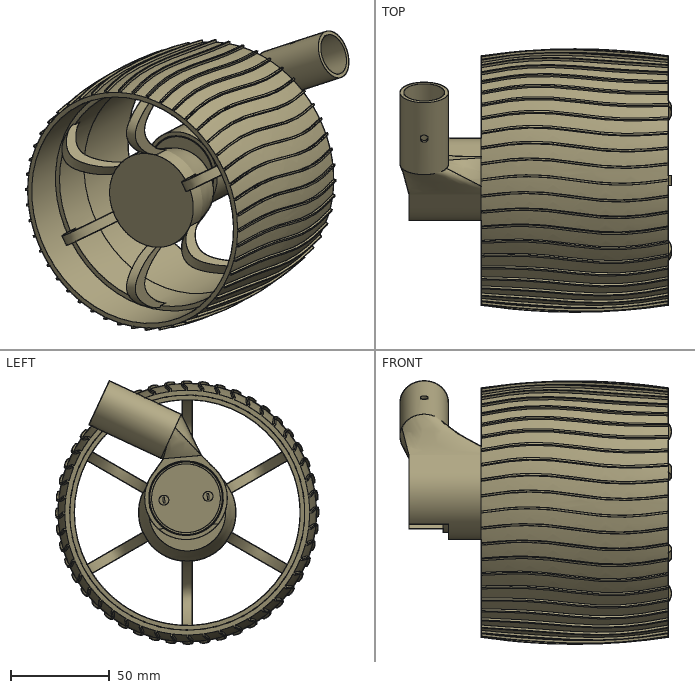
import cadquery as cq
import math


tyre_width = 94.9
tyre_inner_diameter = 119.1
tyre_edge_radius = 62.0
tyre_crown_radius = 65.5

rib_count = 48
rib_height = 1.2
rib_root_depth = 0.7
rib_width = 1.0
rib_wave = 2.0
rib_phase = -0.25
rib_section_count = 9
sector_count = 4

rim_inner_diameter = 114.3
rim_width = 24.1
hub_diameter = 49.5
hub_face_diameter = 38.8
spoke_count = 6
spoke_width = 5.2
spoke_depth = 9.2
spoke_embed = 0.3
spoke_apex = (87.3, 40.9)
bow_inside_apex = (79.0, 30.3)
bow_outside_apex = (79.0, 51.2)
bow_hub_x = 67.1
bow_rim_x = 58.7

motor_tilt = -5.0
motor_offset = 7.3
motor_diameter = 36.8
motor_boss_diameter = 34.8
motor_boss_height = 2.6
motor_face_x = -19.1

screw_diameter = 5.0
screw_spacing = 22.5
screw_depth = 4.1
slot_width = 0.8
slot_depth = 1.1
slot_length = 3.0

sleeve_bore = 37.7
sleeve_diameter = 41.9
sleeve_left = -36.5
opening_drop = 14.3
saddle_length = 45.0
saddle_width = 19.4
tube_diameter = 24.7
tube_bore = 20.7
tube_length = 40.2
tube_rise_angle = 30.0
tube_base = cq.Vector(-28.8, 4.8, 39.3)
tube_hole_diameter = 4.0

tyre_middle = tyre_width / 2
rim_left = tyre_middle
sleeve_right = rim_left
sleeve_radius = sleeve_diameter / 2
motor_shoulder_x = motor_face_x + motor_boss_height
rib_pitch = 360 / rib_count
crown_height = tyre_crown_radius - tyre_edge_radius
crown_arc_radius = (tyre_middle**2 + crown_height**2) / (2 * crown_height)

bow_points = [
    (rim_left, hub_face_diameter / 2),
    (bow_hub_x, hub_diameter / 2),
    bow_inside_apex,
    spoke_apex,
    bow_outside_apex,
    (bow_rim_x, rim_inner_diameter / 2 + spoke_embed),
]


def cylinder(diameter, x_start, x_end, y=0.0, z=0.0):
    """A cylinder along X."""
    plane = cq.Workplane("YZ", origin=(x_start, y, z))
    return plane.circle(diameter / 2).extrude(x_end - x_start)


def turned(body, angle):
    """A copy of a body, turned about the wheel axis."""
    return body.rotate((0, 0, 0), (1, 0, 0), angle)




def tread_radius(x):
    """Radius of the crowned tread surface at a place across the tyre."""
    arc_rise = math.sqrt(crown_arc_radius**2 - (x - tyre_middle)**2)
    return tyre_crown_radius - crown_arc_radius + arc_rise


def rib_section(x):
    """Cross-section of the rib at one X, shifted round the tyre by the sine wave."""
    angle = rib_wave / tyre_edge_radius * math.sin(2 * math.pi * x / tyre_width)
    radial = cq.Vector(0, -math.cos(angle), math.sin(angle))
    across = cq.Vector(0, math.sin(angle), math.cos(angle)) * (rib_width / 2)
    root = cq.Vector(x, 0, 0) + radial * (tread_radius(x) - rib_root_depth)
    tip = cq.Vector(x, 0, 0) + radial * (tread_radius(x) + rib_height)
    return cq.Wire.makePolygon([root - across, tip - across, tip + across, root + across], close=True)


def make_rib():
    step = tyre_width / (rib_section_count - 1)
    sections = [rib_section(i * step) for i in range(rib_section_count)]
    return cq.Workplane(cq.Solid.makeLoft(sections))


def make_tyre():
    """The tyre is joined from equal sectors that meet midway between two ribs."""
    sector_angle = 360 / sector_count
    carcass = (
        cq.Workplane("XZ")
        .moveTo(0, -tyre_inner_diameter / 2)
        .lineTo(0, -tyre_edge_radius)
        .threePointArc((tyre_middle, -tyre_crown_radius), (tyre_width, -tyre_edge_radius))
        .lineTo(tyre_width, -tyre_inner_diameter / 2)
        .close()
        .revolve(sector_angle, (0, 0, 0), (1, 0, 0))
    )
    carcass = turned(carcass, -90 - rib_pitch / 2)
    rib = make_rib()
    ribs = [turned(rib, i * rib_pitch).val() for i in range(rib_count // sector_count)]
    sector = cq.Workplane(carcass.val().fuse(*ribs))
    sectors = [turned(sector, i * sector_angle).val() for i in range(sector_count)]
    tyre = cq.Workplane(sectors[0].fuse(*sectors[1:]).clean())
    return turned(tyre, rib_phase)




def make_rim():
    rim_right = rim_left + rim_width
    return cylinder(tyre_inner_diameter, rim_left, rim_right).cut(
        cylinder(rim_inner_diameter, rim_left, rim_right)
    )


def make_hub():
    hub_right = bow_hub_x + spoke_depth
    flare_points = bow_points[1:4]
    flare = (
        cq.Workplane("XZ")
        .moveTo(*bow_points[0])
        .spline(flare_points, includeCurrent=True)
        .lineTo(spoke_apex[0], 0)
        .lineTo(rim_left, 0)
        .close()
        .revolve(360, (0, 0, 0), (1, 0, 0))
    )
    return flare.intersect(cylinder(hub_diameter, rim_left, hub_right))


def make_spoke():
    """The spoke that points straight up."""
    right_side = [(x + spoke_depth, radius) for x, radius in reversed(bow_points)]
    band = (
        cq.Workplane("XZ", origin=(0, spoke_width / 2, 0))
        .moveTo(*bow_points[0])
        .spline(bow_points[1:], includeCurrent=True)
        .lineTo(*right_side[0])
        .spline(right_side[1:], includeCurrent=True)
        .close()
        .extrude(spoke_width)
    )
    hub_space = cylinder(hub_diameter - 2 * spoke_embed, rim_left, spoke_apex[0])
    return band.cut(hub_space)


def make_wheel():
    wheel = make_rim().union(make_hub())
    spoke = make_spoke()
    for i in range(spoke_count):
        wheel = wheel.union(turned(spoke, i * 360 / spoke_count))
    return wheel




def make_saddle():
    """A flat-topped block whose sides run down tangent to the sleeve."""
    half = saddle_width / 2
    top = motor_offset + sleeve_radius
    tangent_angle = 2 * math.atan(half / sleeve_radius)
    tangent_y = sleeve_radius * math.sin(tangent_angle)
    tangent_z = motor_offset + sleeve_radius * math.cos(tangent_angle)
    outline = [(-half, top), (half, top), (tangent_y, tangent_z), (0, motor_offset), (-tangent_y, tangent_z)]
    return cq.Workplane("YZ", origin=(sleeve_left, 0, 0)).polyline(outline).close().extrude(saddle_length)


def make_neck(tube_plane):
    """A loft from the saddle's top face to the end of the tube."""
    saddle_middle = (sleeve_left + saddle_length / 2, 0, motor_offset + sleeve_radius)
    foot = cq.Workplane("XY", origin=saddle_middle).rect(saddle_length, saddle_width).wires().val()
    ring = cq.Workplane(tube_plane).circle(tube_diameter / 2).wires().val()
    return cq.Workplane(cq.Solid.makeLoft([foot, ring], True))


def make_sleeve_opening():
    """The space below the sleeve's left part, where its wall is cut away."""
    opening = cq.Workplane("XY").box(
        motor_shoulder_x - sleeve_left, sleeve_diameter, sleeve_diameter, centered=(False, True, False)
    )
    return opening.translate((sleeve_left, 0, motor_offset - opening_drop - sleeve_diameter))


def make_bracket():
    rise = math.radians(tube_rise_angle)
    tube_axis = cq.Vector(0, math.cos(rise), math.sin(rise))
    tube_up = cq.Vector(0, -math.sin(rise), math.cos(rise))
    along_x = cq.Vector(1, 0, 0)
    tube_plane = cq.Plane(tube_base, along_x, tube_axis)
    hole_plane = cq.Plane(tube_base + tube_axis * (tube_length / 2), along_x, tube_up)

    tube = cq.Workplane(tube_plane).circle(tube_diameter / 2).extrude(tube_length)
    tube_inside = cq.Workplane(tube_plane).circle(tube_bore / 2).extrude(tube_length)
    cross_hole = cq.Workplane(hole_plane).circle(tube_hole_diameter / 2).extrude(tube_diameter)

    sleeve = cylinder(sleeve_diameter, sleeve_left, sleeve_right, z=motor_offset)
    bracket = sleeve.union(make_saddle()).union(make_neck(tube_plane)).union(tube)
    bracket = bracket.cut(tube_inside).cut(cross_hole)
    bracket = bracket.cut(cylinder(sleeve_bore, sleeve_left, sleeve_right, z=motor_offset))
    return turned(bracket.cut(make_sleeve_opening()), motor_tilt)




def screw_blank(side):
    """The full cylinder of one screw, before its slot is cut."""
    return cylinder(
        screw_diameter, motor_face_x, motor_face_x + screw_depth, side * screw_spacing / 2, motor_offset
    )


def make_motor():
    body = cylinder(motor_diameter, motor_shoulder_x, sleeve_right, z=motor_offset)
    boss = cylinder(motor_boss_diameter, motor_face_x, motor_shoulder_x, z=motor_offset)
    motor = body.union(boss)
    for side in (-1, 1):
        motor = motor.cut(screw_blank(side))
    return turned(motor, motor_tilt)


def make_screw(side):
    slot = cq.Workplane("XY").box(2 * slot_depth, slot_width, slot_length)
    slot = slot.translate((motor_face_x, side * screw_spacing / 2, motor_offset))
    return turned(screw_blank(side).cut(slot), motor_tilt)


tyre = make_tyre()
wheel = make_wheel()
bracket = make_bracket()
motor = make_motor()
screws = [make_screw(side) for side in (-1, 1)]

result = cq.Compound.makeCompound(
    [tyre.val(), wheel.val(), bracket.val(), motor.val(), *[screw.val() for screw in screws]]
)